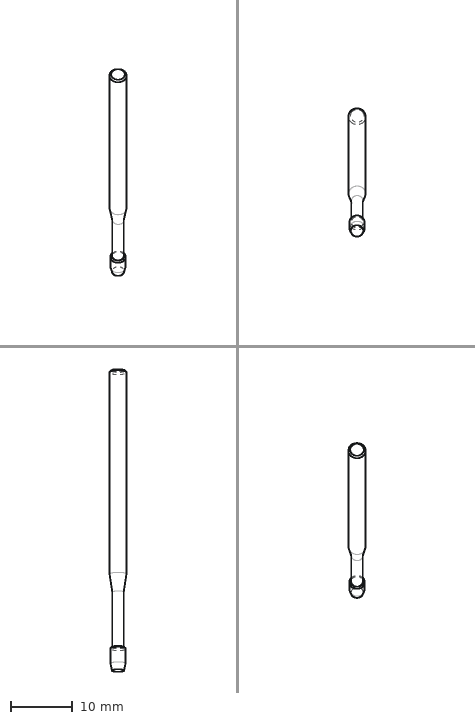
import cadquery as cq

total_length = 50.0
tip_taper_height = 1.2
head_length = 3.9
neck_end_height = 13.1
shank_start_height = 16.1

shank_diameter = 2.8
neck_diameter = 1.9
head_diameter = 2.5
tip_diameter = 2.0

shank_chamfer = 0.3
head_chamfer = 0.25

tip_z = -total_length / 2


def revolve_profile(stations):
    """Revolve a solid about Z through (diameter, height above the tip) stations."""
    outline = [(diameter / 2, tip_z + height) for diameter, height in stations]
    bottom = (0, outline[0][1])
    top = (0, outline[-1][1])
    profile = cq.Workplane("XZ").polyline([bottom, *outline, top]).close()
    return profile.revolve(360, (0, 0, 0), (0, 1, 0))


def make_shank():
    """Cylindrical shank with a chamfered top, tapering down to a slim neck."""
    return revolve_profile([
        (neck_diameter, head_length),
        (neck_diameter, neck_end_height),
        (shank_diameter, shank_start_height),
        (shank_diameter, total_length - shank_chamfer),
        (shank_diameter - 2 * shank_chamfer, total_length),
    ])


def make_head():
    """Working head: tapered tip, cylindrical band and a chamfered shoulder around the neck."""
    return revolve_profile([
        (tip_diameter, 0),
        (head_diameter, tip_taper_height),
        (head_diameter, head_length - head_chamfer),
        (head_diameter - 2 * head_chamfer, head_length),
    ])


shank = make_shank()
head = make_head()

result = cq.Compound.makeCompound([shank.val(), head.val()])